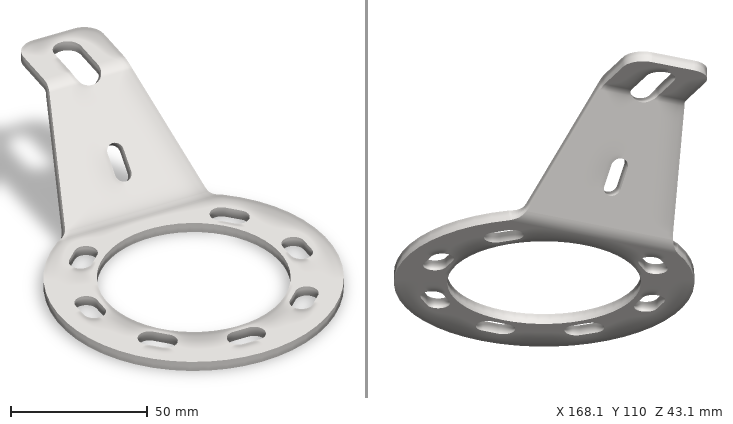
import cadquery as cq
import math


thickness = 4.0
overall_height = 43.13
bend_angle = 44.0
inner_bend_radius = 4.0
neutral_radius = inner_bend_radius + thickness / 2
outer_bend_radius = inner_bend_radius + thickness

ring_radius = 55.0
ring_bore_diameter = 71.0
ring_slot_circle_radius = 42.5
ring_slot_length = 15.0
ring_slot_width = 8.7
ring_slot_spacing = 45.0

overall_length = 168.09
ring_to_bend = 43.25
tab_width = 33.0
tab_corner_radius = 8.0
tab_slot_length = 25.0
tab_slot_width = 11.0
tab_slot_edge_gap = 5.8
neck_taper = 13.35
neck_corner_radius = 10.0
neck_slot_length = 15.0
neck_slot_width = 6.5
neck_slot_offset = 32.0

bend = math.radians(bend_angle)
bend_length = neutral_radius * bend
rise = overall_height - thickness
neck_length = (rise - 2 * neutral_radius * (1 - math.cos(bend))) / math.sin(bend)
fold_run = 2 * neutral_radius * math.sin(bend) + neck_length * math.cos(bend)

lower_bend_end = -ring_to_bend
lower_bend_start = lower_bend_end - bend_length
upper_bend_end = lower_bend_start - neck_length
upper_bend_start = upper_bend_end - bend_length
folded_upper_bend_start = lower_bend_end - fold_run
tab_shift = folded_upper_bend_start - upper_bend_start
blank_left = ring_radius - overall_length - tab_shift

taper = math.radians(neck_taper)
tab_half_width = tab_width / 2
neck_corner_x = (upper_bend_start + upper_bend_end) / 2
neck_corner_setback = neck_corner_radius * math.tan(taper / 2)
tab_arc_start = neck_corner_x - neck_corner_setback
tab_arc_end = neck_corner_x + neck_corner_setback * math.cos(taper)
tab_arc_center_y = tab_half_width + neck_corner_radius

offset_x = neck_corner_x - neck_corner_radius * math.sin(taper)
offset_y = tab_half_width + neck_corner_radius * math.cos(taper)
centre_distance = ring_radius + neck_corner_radius
along = offset_x * math.cos(taper) + offset_y * math.sin(taper)
across = offset_y * math.cos(taper) - offset_x * math.sin(taper)
travel = -along - math.sqrt(centre_distance**2 - across**2)
ring_arc_center_x = offset_x + travel * math.cos(taper)
ring_arc_center_y = offset_y + travel * math.sin(taper)
ring_arc_start = ring_arc_center_x + neck_corner_radius * math.sin(taper)
ring_arc_end = ring_arc_center_x * ring_radius / centre_distance

tab_slot_left = blank_left + tab_slot_edge_gap
tab_slot_center = tab_slot_left + tab_slot_length / 2
tab_slot_round_x = tab_slot_left + tab_slot_length - tab_slot_width / 2

wedge_sections = 5
wedge_inner_reach = inner_bend_radius / 2
wedge_outer_reach = outer_bend_radius + thickness


def edge_half_width(x):
    """Half width of the flat blank at x, from the tab to the ring."""
    if x <= tab_arc_start:
        return tab_half_width
    if x <= tab_arc_end:
        return tab_arc_center_y - math.sqrt(neck_corner_radius**2 - (x - tab_arc_start) ** 2)
    if x <= ring_arc_start:
        return tab_half_width + (x - neck_corner_x) * math.tan(taper)
    if x <= ring_arc_end:
        return ring_arc_center_y - math.sqrt(neck_corner_radius**2 - (x - ring_arc_center_x) ** 2)
    return math.sqrt(ring_radius**2 - x**2)


def tab_slot_half_width(x):
    """Half width of the tab slot at x, near its rounded inner end."""
    reach = max(0.0, x - tab_slot_round_x)
    return math.sqrt((tab_slot_width / 2) ** 2 - reach**2)


def edge_point(x, side):
    return (x, side * edge_half_width(x))


def blank_outline():
    """Outline of the flat blank, extruded to the sheet thickness."""
    tab_arc_middle = (tab_arc_start + tab_arc_end) / 2
    ring_arc_middle = (ring_arc_start + ring_arc_end) / 2
    outline = (
        cq.Workplane("XY")
        .moveTo(blank_left, tab_half_width)
        .lineTo(*edge_point(tab_arc_start, 1))
        .threePointArc(edge_point(tab_arc_middle, 1), edge_point(tab_arc_end, 1))
        .lineTo(*edge_point(ring_arc_start, 1))
        .threePointArc(edge_point(ring_arc_middle, 1), edge_point(ring_arc_end, 1))
        .threePointArc((ring_radius, 0), edge_point(ring_arc_end, -1))
        .threePointArc(edge_point(ring_arc_middle, -1), edge_point(ring_arc_start, -1))
        .lineTo(*edge_point(tab_arc_end, -1))
        .threePointArc(edge_point(tab_arc_middle, -1), edge_point(tab_arc_start, -1))
        .lineTo(blank_left, -tab_half_width)
        .close()
    )
    return outline.extrude(thickness).edges("|Z and <X").fillet(tab_corner_radius)


def slot_cutter(x, length, width):
    return cq.Workplane("XY").center(x, 0).slot2D(length, width).extrude(thickness)


def flat_blank():
    """Flat blank with its bore and all of its slots."""
    blank = blank_outline()
    blank = blank.cut(cq.Workplane("XY").circle(ring_bore_diameter / 2).extrude(thickness))

    ring_slot = (
        cq.Workplane("XY")
        .center(ring_slot_circle_radius, 0)
        .slot2D(ring_slot_length, ring_slot_width, 90)
        .extrude(thickness)
    )
    slots_each_side = round(180 / ring_slot_spacing) - 1
    for step in range(-slots_each_side, slots_each_side + 1):
        blank = blank.cut(ring_slot.rotate((0, 0, 0), (0, 0, 1), step * ring_slot_spacing))

    neck_slot_x = upper_bend_end + neck_slot_offset
    blank = blank.cut(slot_cutter(neck_slot_x, neck_slot_length, neck_slot_width))
    return blank.cut(slot_cutter(tab_slot_center, tab_slot_length, tab_slot_width))


def blank_between(blank, x_min, x_max):
    """Part of the flat blank between two bend lines."""
    window = cq.Workplane("XY").box(
        x_max - x_min, 2 * ring_radius, thickness, centered=(False, True, False)
    )
    return blank.intersect(window.translate((x_min, 0, 0)))


def bend_wedge(half_width, flat_x, start, end, direction):
    """Wedge about the Y axis whose width follows the flat blank from start to end.

    The bend leaves the flat at flat_x. Towards -X (direction -1) it starts below the axis,
    towards +X (direction 1) it starts above the axis.
    """
    sections = []
    for step in range(wedge_sections):
        x = start + (end - start) * step / (wedge_sections - 1)
        turn = (x - flat_x) / neutral_radius
        across_bend = cq.Vector(math.sin(turn), 0, direction * math.cos(turn))
        along_bend = cq.Vector(0, half_width(x), 0)
        inner = across_bend * wedge_inner_reach
        outer = across_bend * wedge_outer_reach
        corners = [inner - along_bend, inner + along_bend, outer + along_bend, outer - along_bend]
        sections.append(cq.Wire.makePolygon(corners, close=True))
    return cq.Workplane(obj=cq.Solid.makeLoft(sections, False))


def bend_solid(half_width, flat_x, stations, direction):
    """Bent strip, built in lengths between the stations where its edge changes shape."""
    tube = (
        cq.Workplane("XZ")
        .circle(outer_bend_radius)
        .circle(inner_bend_radius)
        .extrude(ring_radius, both=True)
    )
    strip = cq.Workplane("XY")
    for start, end in zip(stations, stations[1:]):
        strip = strip.add(tube.intersect(bend_wedge(half_width, flat_x, start, end, direction)))
    return strip.combine()


def folded_part():
    """Ring, neck and tab cut from the blank and joined by the two bends."""
    blank = flat_blank()
    ring = blank_between(blank, lower_bend_end, ring_radius)
    neck = blank_between(blank, upper_bend_end, lower_bend_start)
    tab = blank_between(blank, blank_left, upper_bend_start).translate((tab_shift, 0, rise))

    lower_axis = cq.Vector(lower_bend_end, 0, outer_bend_radius)
    neck = neck.translate((bend_length, 0, 0))
    neck = neck.rotate(lower_axis, lower_axis + cq.Vector(0, 1, 0), bend_angle)

    lower_stations = (lower_bend_start, ring_arc_end, lower_bend_end)
    lower_bend = bend_solid(edge_half_width, lower_bend_end, lower_stations, -1)
    lower_bend = lower_bend.translate(lower_axis)

    upper_stations = (upper_bend_start, tab_arc_start, tab_arc_end, upper_bend_end)
    slot_stations = (upper_bend_start, tab_slot_round_x, upper_bend_end)
    upper_bend = bend_solid(edge_half_width, upper_bend_start, upper_stations, 1)
    upper_bend = upper_bend.cut(bend_solid(tab_slot_half_width, upper_bend_start, slot_stations, 1))
    upper_bend = upper_bend.translate((folded_upper_bend_start, 0, rise - inner_bend_radius))
    return ring.union(lower_bend).union(neck).union(upper_bend).union(tab)


result = folded_part()